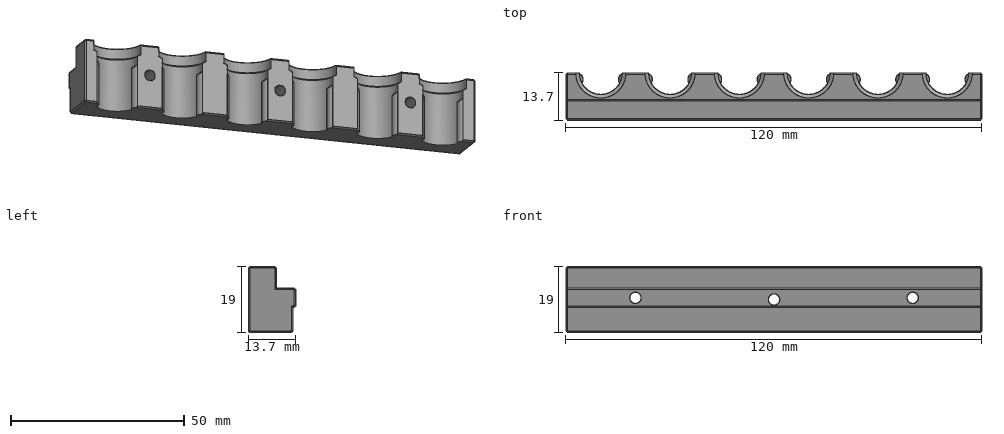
import cadquery as cq
import math

LENGTH = 120.0
HEIGHT = 19.0
DEPTH = 13.7
LIP_OVERHANG = 0.8
LIP_BOTTOM = 7.25
SHELF_HEIGHT = 12.8
UPPER_DEPTH = 8.1
EDGE_CHAMFER = 0.45

CRADLE_COUNT = 6
CRADLE_PITCH = 20.0
CRADLE_RADIUS = 6.2
RECESS_RADIUS = 7.25
RECESS_FLOOR = 16.0
LEDGE_DROP = 0.6

BUMP_GAP = 10.2
BUMP_RADIUS = 1.8
BUMP_DROP = 2.5
BUMP_INSET = 1.9
BUMP_TOP_SLOPE = 33.0

HOLE_DIAMETER = 3.2
HOLE_SPACING = 40.0
CENTRE_HOLE_HEIGHT = 9.5
OUTER_HOLE_HEIGHT = 10.0

UPPER_FRONT = DEPTH - UPPER_DEPTH
LEDGE_BOTTOM = RECESS_FLOOR - LEDGE_DROP
BUMP_TOP = LEDGE_BOTTOM - BUMP_DROP


def rail_body():
    """Stepped bar along X: front face at Y = 0, back face at Y = DEPTH, base at Z = 0."""
    shelf_corner = (UPPER_FRONT, SHELF_HEIGHT)
    lip_corner = (LIP_OVERHANG, LIP_BOTTOM)
    inner_corners = (shelf_corner, lip_corner)
    profile = [
        (DEPTH, 0),
        (DEPTH, HEIGHT),
        (UPPER_FRONT, HEIGHT),
        shelf_corner,
        (0, SHELF_HEIGHT),
        (0, LIP_BOTTOM),
        lip_corner,
        (LIP_OVERHANG, 0),
    ]
    bar = cq.Workplane("YZ").polyline(profile).close().extrude(LENGTH / 2, both=True)
    for y, z in profile:
        if (y, z) not in inner_corners:
            bar = bar.edges(cq.NearestToPointSelector((0, y, z))).chamfer(EDGE_CHAMFER)
    return bar.faces("<X or >X").chamfer(EDGE_CHAMFER)


def tube_seat():
    """Round opening through the full height, widened at the top above a sloping ledge."""
    half_section = [
        (0, 0),
        (CRADLE_RADIUS, 0),
        (CRADLE_RADIUS, LEDGE_BOTTOM),
        (RECESS_RADIUS, RECESS_FLOOR),
        (RECESS_RADIUS, HEIGHT),
        (0, HEIGHT),
    ]
    return cq.Workplane("XZ").polyline(half_section).close().revolve(360, (0, 0), (0, 1))


def retaining_bump():
    """Upright round post on the +X side of the mouth, its top sloping down towards the tube."""
    inner_x = BUMP_GAP / 2
    slope = math.tan(math.radians(BUMP_TOP_SLOPE))
    inner_top = BUMP_TOP - (CRADLE_RADIUS - inner_x) * slope
    side_outline = [
        (inner_x, 0),
        (CRADLE_RADIUS, 0),
        (CRADLE_RADIUS, BUMP_TOP),
        (inner_x, inner_top),
    ]
    wedge = cq.Workplane("XZ").polyline(side_outline).close().extrude(2 * CRADLE_RADIUS, both=True)
    post = cq.Workplane("XY").center(inner_x + BUMP_RADIUS, -BUMP_INSET).circle(BUMP_RADIUS).extrude(BUMP_TOP)
    return post.intersect(wedge)


def cradle_cutter():
    """Tube seat centred on the back face, less its two retaining bumps."""
    bump = retaining_bump()
    cutter = tube_seat().cut(bump).cut(bump.mirror("YZ"))
    return cutter.translate((0, DEPTH, 0))


def screw_hole(x, z):
    """Drill running along Y through the whole depth."""
    return cq.Workplane("XZ").center(x, z).circle(HOLE_DIAMETER / 2).extrude(-DEPTH)


result = rail_body()

cradle = cradle_cutter()
for index in range(CRADLE_COUNT):
    cradle_x = (index - (CRADLE_COUNT - 1) / 2) * CRADLE_PITCH
    result = result.cut(cradle.translate((cradle_x, 0, 0)))

result = result.cut(screw_hole(0, CENTRE_HOLE_HEIGHT))
for side in (-1, 1):
    result = result.cut(screw_hole(side * HOLE_SPACING, OUTER_HOLE_HEIGHT))